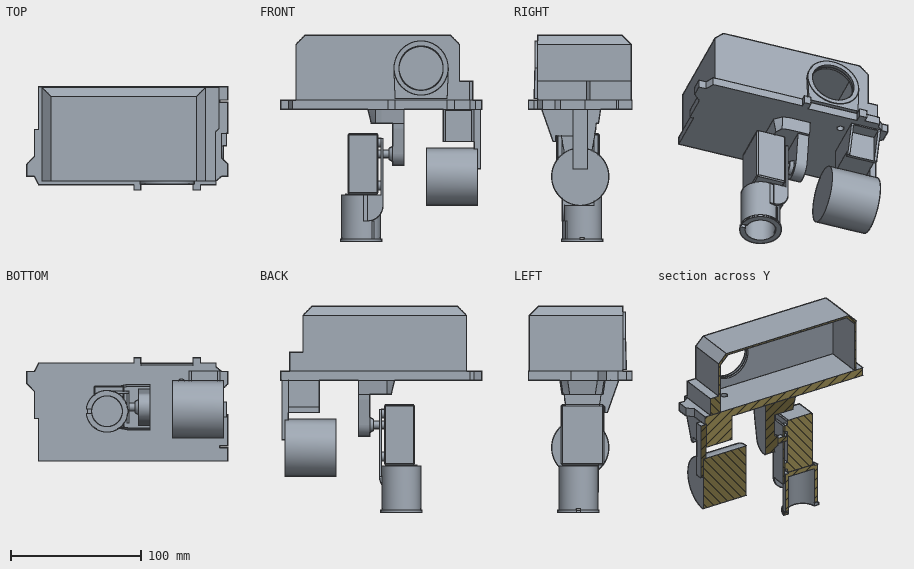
import cadquery as cq
import math


plate_thickness = 7.0
plate_length = 154.3
half_length = plate_length / 2
plate_left = -68.2
plate_back = 39.7
plate_front = -35.6
foot_front = -39.7
relief_front = -33.9
cover_corner_front = -32.6
left_step_x, left_step_y = -71.2, 7.0
left_ear_back, left_ear_root = -20.0, -13.8
ear_front = -29.1
right_ear_back, right_ear_root = -19.5, -15.0
slit_bottom_x, slit_back, slit_front = 71.0, 29.3, 27.9
right_notch_x, right_notch_back = 72.3, 3.8
front_left_x, front_right_x = -67.9, 68.2
feet_x = ((5.0, 10.5), (50.3, 56.2))
drain_diameter = 5.2
drain_x, drain_y = 41.6, -20.7

block_left, block_right = 47.5, 71.2
block_front, block_back = -20.5, 5.7
block_bottom, block_back_bottom = -31.7, -27.4
block_lip_back = -18.7
rib_front_top, rib_front_bottom = -29.6, -20.9
top_rail_thickness = 1.0
left_rib_thickness, right_rib_thickness = 1.7, 2.0

cover_left, cover_right = -65.4, 60.0
cover_back, cover_front = 39.1, cover_corner_front
cover_height = 49.9
cover_chamfer = 7.0
cover_wall = 1.9
ledge_height = 14.5
ledge_right, ledge_front_right = 70.3, 67.6
ledge_jog_back, ledge_jog_front = 7.6, 4.9

opening_x, opening_z = 30.5, 24.7
opening_diameter = 33.9
opening_wall_drop = 0.5
rim_diameter = 41.5
rim_depth = 2.2
apron_half_top, apron_half_bottom = 20.9, 20.0
apron_bottom = 1.3
apron_depth_bottom = 2.8

mechanism_y = -1.7
box_left, box_right = -25.5, -2.4
box_width = 32.8
box_top, box_bottom = -25.6, -71.9
box_chamfer = 1.0
boss_diameter = 7.0
boss_heights = (-32.5, -65.4)
shaft_diameter = 6.0
shaft_z = -41.2

head_bottom = -17.7
head_right = 17.5
head_side_x, head_corner_x = 0.5, -4.6
head_top_tip_x, head_bottom_tip_x = -10.3, -7.8
head_top_half, head_top_tip_half = 17.4, 11.4
head_bottom_half, head_bottom_tip_half = 15.8, 9.8
head_corner_inset = 1.0
arm_left = 8.7
arm_top_half = 14.1
arm_shoulder_z = -22.0
arm_end_radius = 10.5
arm_end_z = -39.5
arm_taper = 10.0
collar_length = 2.8
collar_small_diameter, collar_large_diameter = 8.5, 11.7

sheet_left, sheet_right = -0.3, 1.5
sheet_width = 24.4
sheet_top = -29.3
sheet_corner_radius = 3.0
gusset_diameter = 23.6
gusset_radius = gusset_diameter / 2
gusset_bottom = -92.5
gusset_front, gusset_back = mechanism_y - sheet_width / 2, -12.2
wrap_left = -13.5
wrap_radius = 15.7

nozzle_x, nozzle_y = -15.5, 1.5
nozzle_diameter = 30.0
nozzle_bore = 23.6
spigot_diameter = 24.0
nozzle_top, nozzle_bottom = -72.5, -108.5
flange_diameter = 32.0
flange_height = 1.9
slot_width = 3.2
slot_height = 3.0
groove_left, groove_right = -7.3, -5.4
groove_depth = 0.5

roller_diameter = 44.0
roller_left, roller_right = 34.7, 74.0
roller_z = -58.5
support_right = 76.1
support_half_width = 5.7
support_bottom = -52.7


def block_between(x_range, y_range, z_range):
    """Axis-aligned block given by its limits."""
    size = [high - low for low, high in (x_range, y_range, z_range)]
    corner = cq.Vector(x_range[0], y_range[0], z_range[0])
    return cq.Workplane(cq.Solid.makeBox(*size, pnt=corner))


def rod_along_x(diameter, x_start, x_end, y, z):
    """Cylinder with its axis parallel to X."""
    start = cq.Vector(x_start, y, z)
    return cq.Workplane(cq.Solid.makeCylinder(diameter / 2, x_end - x_start, start, cq.Vector(1, 0, 0)))


def front_disc(diameter, y_front, y_back, z):
    """Cylinder along Y on the vertical centreline of the cover's opening."""
    start = cq.Vector(opening_x, y_front, z)
    return cq.Workplane(cq.Solid.makeCylinder(diameter / 2, y_back - y_front, start, cq.Vector(0, 1, 0)))


def upright_cylinder(diameter, z_low, z_high, x, y):
    """Cylinder with a vertical axis."""
    return cq.Workplane(cq.Solid.makeCylinder(diameter / 2, z_high - z_low, cq.Vector(x, y, z_low)))


def make_base():
    outline = [
        (plate_left, plate_back),
        (half_length, plate_back),
        (half_length, slit_back),
        (slit_bottom_x, slit_back),
        (slit_bottom_x, slit_front),
        (half_length, slit_front),
        (half_length, right_notch_back),
        (right_notch_x, right_notch_back),
        (right_notch_x, right_ear_root),
        (half_length, right_ear_back),
        (half_length, ear_front),
        (right_notch_x, ear_front),
        (front_right_x, cover_corner_front),
        (front_right_x, plate_front),
        (front_left_x, plate_front),
        (left_step_x, ear_front),
        (-half_length, ear_front),
        (-half_length, left_ear_back),
        (left_step_x, left_ear_root),
        (left_step_x, left_step_y),
        (plate_left, left_step_y),
    ]
    base = cq.Workplane("XY").polyline(outline).close().extrude(-plate_thickness)
    for foot_left, foot_right in feet_x:
        foot = block_between((foot_left, foot_right), (foot_front, plate_front), (-plate_thickness, 0))
        base = base.union(foot)
    drain = upright_cylinder(drain_diameter, -plate_thickness, 0, drain_x, drain_y)
    between_feet = (feet_x[0][1], feet_x[1][0])
    relief = block_between(between_feet, (plate_front, relief_front), (-plate_thickness, 0))
    return base.cut(drain).cut(relief).union(make_hanging_block())


def prism_along_x(profile, x_start, x_end):
    """Prism with a (Y, Z) polygon as its profile."""
    sketch = cq.Workplane("YZ", origin=(x_start, 0, 0)).polyline(profile).close()
    return sketch.extrude(x_end - x_start)


def make_hanging_block():
    """Block with a low lip at its front bottom edge, between two slanted side ribs and under a rail."""
    block_side = [
        (block_back, -plate_thickness),
        (block_front, -plate_thickness),
        (block_front, block_bottom),
        (block_lip_back, block_bottom),
        (block_lip_back, block_back_bottom),
        (block_back, block_back_bottom),
    ]
    rib_side = [
        (block_lip_back, -plate_thickness),
        (rib_front_top, -plate_thickness),
        (rib_front_bottom, block_bottom),
        (block_lip_back, block_bottom),
    ]
    block = prism_along_x(block_side, block_left, block_right)
    left_rib = prism_along_x(rib_side, block_left, block_left + left_rib_thickness)
    right_rib = prism_along_x(rib_side, block_right - right_rib_thickness, block_right)
    rail_bottom = -plate_thickness - top_rail_thickness
    slanted_prism = prism_along_x(rib_side, block_left, block_right)
    rail_zone = block_between(
        (block_left, block_right), (rib_front_top, block_front), (rail_bottom, -plate_thickness)
    )
    top_rail = slanted_prism.intersect(rail_zone)
    return block.union(left_rib).union(right_rib).union(top_rail)


def chamfered_hood(inset):
    """Main box of the cover, shrunk by an inset everywhere but at its open bottom."""
    left, right = cover_left + inset, cover_right - inset
    front, back = cover_front + inset, cover_back - inset
    hood = block_between((left, right), (front, back), (0, cover_height - inset))
    top_edges = hood.faces(">Z").edges("<X or >X or >Y")
    return top_edges.chamfer(cover_chamfer)


def make_cover():
    ledge_outline = [
        (cover_right - cover_wall, cover_back),
        (ledge_right, cover_back),
        (ledge_right, ledge_jog_back),
        (ledge_front_right, ledge_jog_front),
        (ledge_front_right, cover_front),
        (cover_right - cover_wall, cover_front),
    ]
    ledge = cq.Workplane("XY").polyline(ledge_outline).close().extrude(ledge_height)
    cover = chamfered_hood(0).cut(chamfered_hood(cover_wall)).union(ledge)

    rim_front = cover_front - rim_depth
    apron_outline = [
        (opening_x - apron_half_top, opening_z),
        (opening_x + apron_half_top, opening_z),
        (opening_x + apron_half_bottom, apron_bottom),
        (opening_x - apron_half_bottom, apron_bottom),
    ]
    apron = cq.Workplane("XZ", origin=(0, cover_front, 0)).polyline(apron_outline).close()
    apron = apron.extrude(apron_depth_bottom)
    apron_side = [
        (cover_front, opening_z),
        (rim_front, opening_z),
        (cover_front - apron_depth_bottom, apron_bottom),
        (cover_front, apron_bottom),
    ]
    slope = prism_along_x(apron_side, opening_x - apron_half_top, opening_x + apron_half_top)
    apron = apron.intersect(slope)

    rim_seat = front_disc(rim_diameter, cover_front - apron_depth_bottom, rim_front, opening_z)
    rim = front_disc(rim_diameter, rim_front, cover_front, opening_z)
    cover = cover.union(apron.cut(rim_seat)).union(rim)

    rim_hole = front_disc(opening_diameter, rim_front, cover_front, opening_z)
    wall_hole_z = opening_z - opening_wall_drop
    wall_hole = front_disc(opening_diameter, cover_front, cover_front + cover_wall, wall_hole_z)
    return cover.cut(rim_hole).cut(wall_hole)


def head_outline(half, tip_half, tip_x):
    """Horizontal section of the hanger head, pointed towards -X."""
    side = [
        (head_right, half),
        (head_side_x, half),
        (head_corner_x, half - head_corner_inset),
        (tip_x, tip_half),
    ]
    return side + [(x, -y) for x, y in reversed(side)]


def make_hanger():
    head_height = -plate_thickness - head_bottom
    head = (
        cq.Workplane("XY", origin=(0, mechanism_y, head_bottom))
        .polyline(head_outline(head_bottom_half, head_bottom_tip_half, head_bottom_tip_x)).close()
        .workplane(offset=head_height)
        .polyline(head_outline(head_top_half, head_top_tip_half, head_top_tip_x)).close()
        .loft(ruled=True)
    )

    taper = math.radians(arm_taper)
    tangent_y = arm_end_radius * math.cos(taper)
    tangent_z = arm_end_z - arm_end_radius * math.sin(taper)
    shoulder_half = tangent_y + (arm_shoulder_z - tangent_z) * math.tan(taper)
    arm = (
        cq.Workplane("YZ", origin=(arm_left, mechanism_y, 0))
        .moveTo(-arm_top_half, head_bottom)
        .lineTo(-shoulder_half, arm_shoulder_z)
        .lineTo(-tangent_y, tangent_z)
        .threePointArc((0, arm_end_z - arm_end_radius), (tangent_y, tangent_z))
        .lineTo(shoulder_half, arm_shoulder_z)
        .lineTo(arm_top_half, head_bottom)
        .close()
        .extrude(head_right - arm_left)
    )
    collar = cq.Solid.makeCone(
        collar_small_diameter / 2,
        collar_large_diameter / 2,
        collar_length,
        cq.Vector(arm_left - collar_length, mechanism_y, shaft_z),
        cq.Vector(1, 0, 0),
    )
    return head.union(arm).union(cq.Workplane(collar))


def make_valve_box():
    half_width = box_width / 2
    y_range = (mechanism_y - half_width, mechanism_y + half_width)
    box = block_between((box_left, box_right), y_range, (box_bottom, box_top))
    box = box.edges().chamfer(box_chamfer)
    for boss_z in boss_heights:
        box = box.union(rod_along_x(boss_diameter, box_right, sheet_left, mechanism_y, boss_z))
    return box


def make_shaft():
    return rod_along_x(shaft_diameter, box_right, arm_left - collar_length, mechanism_y, shaft_z)


def make_sheet_bracket():
    half_width = sheet_width / 2
    y_range = (mechanism_y - half_width, mechanism_y + half_width)
    arc_x = sheet_right - gusset_radius
    arc_z = gusset_bottom + gusset_radius
    sheet = block_between((sheet_left, sheet_right), y_range, (arc_z, sheet_top))
    sheet = sheet.edges("|X and >Z").fillet(sheet_corner_radius)

    diagonal = gusset_radius * math.sqrt(0.5)
    gusset = (
        cq.Workplane("XZ", origin=(0, gusset_back, 0))
        .moveTo(arc_x, nozzle_top)
        .lineTo(sheet_right, nozzle_top)
        .lineTo(sheet_right, arc_z)
        .threePointArc((arc_x + diagonal, arc_z - diagonal), (arc_x, gusset_bottom))
        .close()
        .extrude(gusset_back - gusset_front)
    )
    lip = upright_cylinder(2 * wrap_radius, gusset_bottom, nozzle_top, nozzle_x, nozzle_y)
    lip_zone = (nozzle_y - wrap_radius, gusset_back)
    lip = lip.intersect(block_between((wrap_left, arc_x), lip_zone, (gusset_bottom, nozzle_top)))
    nozzle_space = upright_cylinder(nozzle_diameter, nozzle_bottom, nozzle_top, nozzle_x, nozzle_y)
    return sheet.union(gusset).union(lip).cut(nozzle_space).cut(make_shaft())


def make_nozzle():
    barrel = upright_cylinder(nozzle_diameter, nozzle_bottom, nozzle_top, nozzle_x, nozzle_y)
    spigot = upright_cylinder(spigot_diameter, nozzle_top, box_bottom, nozzle_x, nozzle_y)
    flange_top = nozzle_bottom + flange_height
    flange = upright_cylinder(flange_diameter, nozzle_bottom, flange_top, nozzle_x, nozzle_y)
    bore_top = nozzle_top - (nozzle_diameter - nozzle_bore) / 2
    bore = upright_cylinder(nozzle_bore, nozzle_bottom, bore_top, nozzle_x, nozzle_y)
    nozzle = barrel.union(spigot).union(flange).cut(bore)

    slot_y = (nozzle_y - slot_width / 2, nozzle_y + slot_width / 2)
    slot_top = nozzle_bottom + slot_height
    reach = flange_diameter / 2
    nozzle = nozzle.cut(block_between((nozzle_x - reach, nozzle_x), slot_y, (nozzle_bottom, slot_top)))
    nozzle = nozzle.cut(block_between((nozzle_x, nozzle_x + reach), slot_y, (flange_top, slot_top)))

    groove_middle = (groove_left + groove_right) / 2 - nozzle_x
    wall_y = nozzle_y - math.sqrt((nozzle_diameter / 2) ** 2 - groove_middle ** 2)
    groove_y = (nozzle_y - reach, wall_y + groove_depth)
    return nozzle.cut(block_between((groove_left, groove_right), groove_y, (flange_top, gusset_bottom)))


def make_roller():
    return rod_along_x(roller_diameter, roller_left, roller_right, 0, roller_z)


def make_roller_support():
    y_range = (-support_half_width, support_half_width)
    support = block_between((block_right, support_right), y_range, (support_bottom, -plate_thickness))
    return support.cut(make_roller())


base = make_base()
cover = make_cover()
hanger = make_hanger()
valve_box = make_valve_box()
shaft = make_shaft()
sheet_bracket = make_sheet_bracket()
nozzle = make_nozzle()
roller = make_roller()
roller_support = make_roller_support()

bodies = [base, cover, hanger, valve_box, shaft, sheet_bracket, nozzle, roller, roller_support]
result = cq.Compound.makeCompound([body.solids().val() for body in bodies])